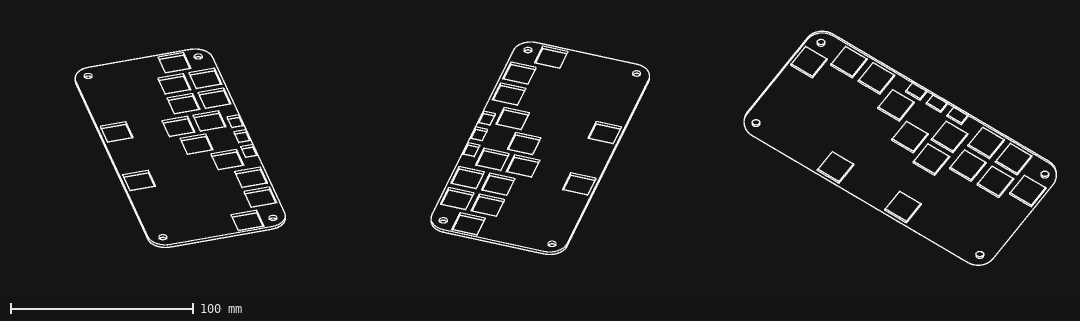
import cadquery as cq
import math

plate_length = 164.0
plate_width = 78.0
plate_thickness = 2.0
corner_radius = 10.0
corner_segments = 8

hole_diameter = 4.5
hole_spacing_x = 149.2
hole_spacing_y = 62.8
hole_center_y = 0.2

key_size = 14.6
inner_column_x = 17.9
middle_column_x = 36.5
outer_column_x = 55.0
edge_column_x = 73.0
thumb_key_x = 22.5

key_row_pitch = 17.7
outer_row_y = 30.0
inner_row_y = 21.8
edge_row_y = 17.5
center_row_y = 9.3
thumb_row_y = -29.8

key_centers = [
    (-outer_column_x, outer_row_y),
    (-outer_column_x, outer_row_y - key_row_pitch),
    (-middle_column_x, outer_row_y),
    (-middle_column_x, outer_row_y - key_row_pitch),
    (-inner_column_x, inner_row_y),
    (-inner_column_x, inner_row_y - key_row_pitch),
    (0, center_row_y),
    (inner_column_x, inner_row_y),
    (middle_column_x, outer_row_y),
    (outer_column_x, outer_row_y),
    (-edge_column_x, edge_row_y),
    (edge_column_x, edge_row_y),
    (-thumb_key_x, thumb_row_y),
    (thumb_key_x, thumb_row_y),
]

small_window_length = 9.8
small_window_width = 6.9
small_window_pitch = 13.8
small_window_count = 3
edge_strip = 0.2
small_window_y = plate_width / 2 - edge_strip - small_window_width / 2


def faceted_outline():
    """Corner points of a rectangle whose rounded corners are made of flat facets."""
    arc_x = plate_length / 2 - corner_radius
    arc_y = plate_width / 2 - corner_radius
    corners = [(arc_x, arc_y), (-arc_x, arc_y), (-arc_x, -arc_y), (arc_x, -arc_y)]
    points = []
    for quarter, (center_x, center_y) in enumerate(corners):
        for step in range(corner_segments + 1):
            angle = math.pi / 2 * (quarter + step / corner_segments)
            x = center_x + corner_radius * math.cos(angle)
            y = center_y + corner_radius * math.sin(angle)
            points.append((x, y))
    return points


def windows(centers, length, width):
    """Rectangular prisms, as thick as the plate, at the given centres."""
    return cq.Workplane("XY").pushPoints(centers).rect(length, width).extrude(plate_thickness)


plate = cq.Workplane("XY").polyline(faceted_outline()).close().extrude(plate_thickness)

screw_holes = (
    cq.Workplane("XY")
    .center(0, hole_center_y)
    .rect(hole_spacing_x, hole_spacing_y, forConstruction=True)
    .vertices()
    .circle(hole_diameter / 2)
    .extrude(plate_thickness)
)

small_window_centers = [
    ((index - (small_window_count - 1) / 2) * small_window_pitch, small_window_y)
    for index in range(small_window_count)
]

result = (
    plate
    .cut(screw_holes)
    .cut(windows(key_centers, key_size, key_size))
    .cut(windows(small_window_centers, small_window_length, small_window_width))
)